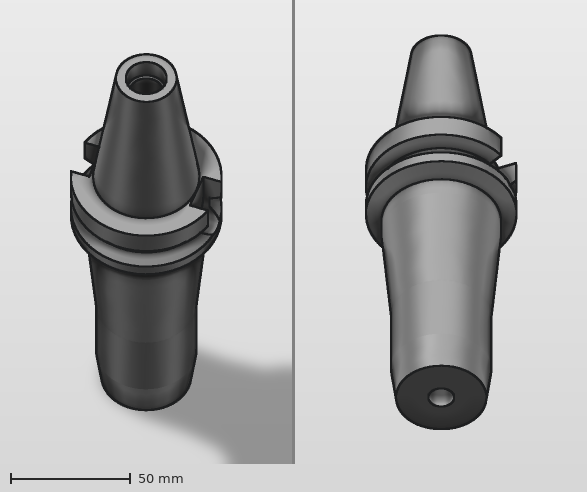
import cadquery as cq

total_height = 200
gauge_height = 134.7
gauge_diameter = 44.5
taper_tip_diameter = 25.5

flange_diameter = 63.0
flange_top = 133.7
upper_rim_bottom = 123.3
groove_top = 120.3
groove_bottom = 116.0
groove_diameter = 53.0
lower_rim_top = 112.9
lower_rim_bottom = 107.7

collar_diameter = 50
collar_top = 103.5
collar_bottom = 95.5
barrel_diameter = 42
barrel_top = 48.0
barrel_bottom = 16.6
nose_diameter = 37.8

slot_width = 16.2
slot_bottom = 111.9
slot_floor_offset = 22.5

mouth_diameter = 17.0
mouth_depth = 9.0
thread_diameter = 13.8
thread_depth = 32
relief_diameter = 12.6
relief_depth = 40
through_diameter = 10.8


def turned_body():
    """Revolve the outside contour, given as radius and height from the nose up."""
    contour = [
        (0, 0),
        (nose_diameter / 2, 0),
        (barrel_diameter / 2, barrel_bottom),
        (barrel_diameter / 2, barrel_top),
        (collar_diameter / 2, collar_bottom),
        (collar_diameter / 2, collar_top),
        (flange_diameter / 2, lower_rim_bottom),
        (flange_diameter / 2, lower_rim_top),
        (groove_diameter / 2, groove_bottom),
        (groove_diameter / 2, groove_top),
        (flange_diameter / 2, upper_rim_bottom),
        (flange_diameter / 2, flange_top),
        (gauge_diameter / 2, flange_top),
        (gauge_diameter / 2, gauge_height),
        (taper_tip_diameter / 2, total_height),
        (0, total_height),
    ]
    return cq.Workplane("XZ").polyline(contour).close().revolve(360, (0, 0), (0, 1))


def drive_slot(side):
    """Round-bottomed slot, open at the flange top, on the +X (1) or -X (-1) side."""
    radius = slot_width / 2
    arc_center = slot_bottom + radius
    return (
        cq.Workplane("YZ", origin=(side * slot_floor_offset, 0, 0))
        .moveTo(-radius, flange_top)
        .lineTo(-radius, arc_center)
        .threePointArc((0, slot_bottom), (radius, arc_center))
        .lineTo(radius, flange_top)
        .close()
        .extrude(side * flange_diameter / 2)
    )


def bore(diameter, depth):
    """Round hole going down from the tip of the taper."""
    return (
        cq.Workplane("XY", origin=(0, 0, total_height - depth))
        .circle(diameter / 2)
        .extrude(depth)
    )


result = turned_body()
for side in (-1, 1):
    result = result.cut(drive_slot(side))

bore_steps = [
    (mouth_diameter, mouth_depth),
    (thread_diameter, thread_depth),
    (relief_diameter, relief_depth),
    (through_diameter, total_height),
]
for diameter, depth in bore_steps:
    result = result.cut(bore(diameter, depth))